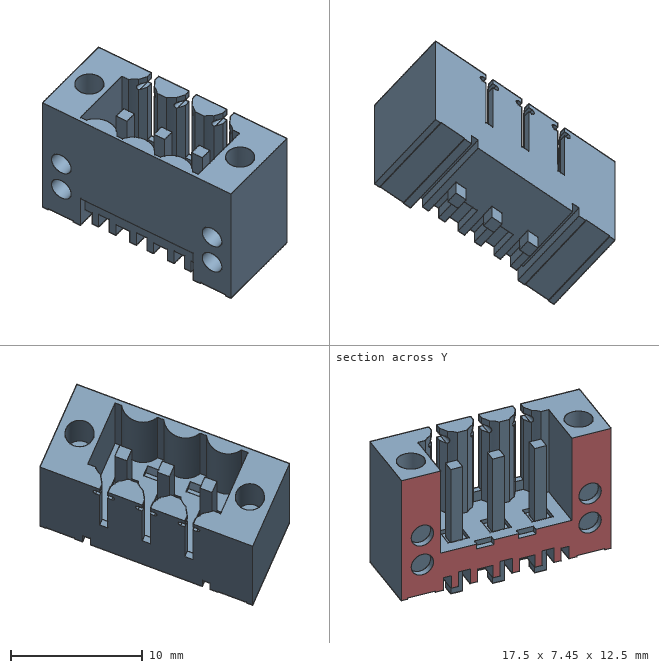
import cadquery as cq
import math

LENGTH = 17.5
DEPTH = 7.45
HEIGHT = 11.02
FRONT = -DEPTH / 2
BACK = DEPTH / 2

PITCH = 3.5
CONTACT_X = [-PITCH, 0.0, PITCH]
BETWEEN_X = [-PITCH / 2, PITCH / 2]

PIN_SIZE = 1.0
PIN_Y = -0.23
PIN_TAIL = 1.52
PIN_TOP = 9.87
PIN_FRONT = PIN_Y - PIN_SIZE / 2

CAVITY_LENGTH = 10.92
CAVITY_BACK = 2.12
CAVITY_FRONT = -3.38
FLOOR_Z = 3.5

SCALLOP_RADIUS = 1.75
SCALLOP_EDGE_X = 1.33
WEDGE_FOOT_X = 0.72
WEDGE_TIP_Y = 3.22
SLOT_WIDTH = 0.66
SLOT_BOTTOM = 4.38

CROSS_SLOT_LENGTH = 1.75
CROSS_SLOT_HEIGHT = 0.56
CROSS_SLOT_BULGE = 0.21
CROSS_SLOT_Z = 10.18

RIB_RADIUS = 1.66
RIB_PEAK_Y = -2.57
RIB_VALLEY_Y = -3.48

PIN_POCKET_SIZE = 1.77
PIN_POCKET_DEPTH = 0.35
KEY_LENGTH = 1.4
KEY_BACK = -1.7
KEY_STEP = -2.17
KEY_FRONT = -2.57
KEY_DEPTH = 0.44

FLANGE_X = 2 * PITCH
SCREW_HOLE_DIAMETER = 2.2
SCREW_HOLE_DEPTH = 3.85
SIDE_HOLE_DIAMETER = 1.82
SIDE_HOLE_DEPTH = 2.1
SIDE_HOLE_Z = [2.85, 5.51]

RECESS_LENGTH = 10.46
RECESS_HEIGHT = 2.84
RECESS_DEPTH = 0.65
END_GAP_WIDTH = 0.63
GAP_WIDTH = 1.28
GAP_HEIGHT = 1.14
PIN_SLOT_WIDTH = 0.96
PIN_SLOT_HEIGHT = 1.33
FOOT_NOTCH_X = 7.07
FOOT_NOTCH_WIDTH = 2.31
FOOT_NOTCH_HEIGHT = 0.1


def box(x_centre, width, y_range, z_range):
    """Box centred on x_centre that spans the given Y and Z ranges."""
    y_low, y_high = y_range
    z_low, z_high = z_range
    corner = cq.Vector(x_centre - width / 2, y_low, z_low)
    return cq.Workplane(cq.Solid.makeBox(width, y_high - y_low, z_high - z_low, corner))


def scallop(x_centre):
    """Bay in the rear wall: a concave arc on each side, narrowing in a wedge to the slot width."""
    drop = math.sqrt(SCALLOP_RADIUS**2 - SCALLOP_EDGE_X**2)
    centre_y = CAVITY_BACK - drop
    foot_y = centre_y + math.sqrt(SCALLOP_RADIUS**2 - WEDGE_FOOT_X**2)
    middle_x = (SCALLOP_EDGE_X + WEDGE_FOOT_X) / 2
    middle_y = centre_y + math.sqrt(SCALLOP_RADIUS**2 - middle_x**2)
    return (
        cq.Workplane("XY", origin=(x_centre, 0, FLOOR_Z))
        .moveTo(-SCALLOP_EDGE_X, CAVITY_BACK)
        .threePointArc((-middle_x, middle_y), (-WEDGE_FOOT_X, foot_y))
        .lineTo(-SLOT_WIDTH / 2, WEDGE_TIP_Y)
        .lineTo(SLOT_WIDTH / 2, WEDGE_TIP_Y)
        .lineTo(WEDGE_FOOT_X, foot_y)
        .threePointArc((middle_x, middle_y), (SCALLOP_EDGE_X, CAVITY_BACK))
        .close()
        .extrude(HEIGHT - FLOOR_Z)
    )


def cavity():
    """Space for the plug, open at the top, with ribs in front and scallops at the back."""
    heights = (FLOOR_Z, HEIGHT)
    space = box(0, CAVITY_LENGTH, (CAVITY_FRONT, CAVITY_BACK), heights)
    for x in BETWEEN_X:
        space = space.union(box(x, PITCH / 2, (RIB_VALLEY_Y, CAVITY_FRONT), heights))
    for x in CONTACT_X:
        rib = (
            cq.Workplane("XY", origin=(x, RIB_PEAK_Y - RIB_RADIUS, FLOOR_Z))
            .circle(RIB_RADIUS)
            .extrude(HEIGHT - FLOOR_Z)
        )
        space = space.cut(rib).union(scallop(x))
    return space


def cross_slot(x_centre):
    """Opening through the rear wall, just under the top, with outward bulging ends."""
    end_x = CROSS_SLOT_LENGTH / 2
    flat_x = end_x - CROSS_SLOT_BULGE
    half_height = CROSS_SLOT_HEIGHT / 2
    return (
        cq.Workplane("XZ", origin=(x_centre, BACK, CROSS_SLOT_Z))
        .moveTo(-flat_x, -half_height)
        .lineTo(flat_x, -half_height)
        .threePointArc((end_x, 0), (flat_x, half_height))
        .lineTo(-flat_x, half_height)
        .threePointArc((-end_x, 0), (-flat_x, -half_height))
        .close()
        .extrude(BACK - CAVITY_BACK)
    )


def key_pocket(x_centre):
    """Floor pocket with a flat bottom at the back and a ramp up towards the front."""
    return (
        cq.Workplane("YZ", origin=(x_centre - KEY_LENGTH / 2, 0, FLOOR_Z))
        .moveTo(KEY_BACK, 0)
        .lineTo(KEY_BACK, -KEY_DEPTH)
        .lineTo(KEY_STEP, -KEY_DEPTH)
        .lineTo(KEY_FRONT, 0)
        .close()
        .extrude(KEY_LENGTH)
    )


def cut_rear_wall(body):
    for x in CONTACT_X:
        body = body.cut(box(x, SLOT_WIDTH, (WEDGE_TIP_Y, BACK), (SLOT_BOTTOM, HEIGHT)))
        body = body.cut(cross_slot(x))
    return body


def cut_floor(body):
    pin_pocket_y = (PIN_Y - PIN_POCKET_SIZE / 2, PIN_Y + PIN_POCKET_SIZE / 2)
    for x in CONTACT_X:
        body = body.cut(box(x, PIN_POCKET_SIZE, pin_pocket_y, (FLOOR_Z - PIN_POCKET_DEPTH, FLOOR_Z)))
    for x in BETWEEN_X:
        body = body.cut(key_pocket(x))
    return body


def cut_flanges(body):
    for x in (-FLANGE_X, FLANGE_X):
        screw_hole = (
            cq.Workplane("XY", origin=(x, 0, HEIGHT))
            .circle(SCREW_HOLE_DIAMETER / 2)
            .extrude(-SCREW_HOLE_DEPTH)
        )
        body = body.cut(screw_hole)
        for z in SIDE_HOLE_Z:
            side_hole = (
                cq.Workplane("XZ", origin=(x, FRONT, z))
                .circle(SIDE_HOLE_DIAMETER / 2)
                .extrude(-SIDE_HOLE_DEPTH)
            )
            body = body.cut(side_hole)
    return body


def cut_underside(body):
    """Front recess, the slots that leave a comb of teeth, and the notches under the feet."""
    body = body.cut(box(0, RECESS_LENGTH, (FRONT, FRONT + RECESS_DEPTH), (0, RECESS_HEIGHT)))
    for x in CONTACT_X:
        body = body.cut(box(x, PIN_SLOT_WIDTH, (FRONT, PIN_FRONT), (0, PIN_SLOT_HEIGHT)))
    for x in BETWEEN_X:
        body = body.cut(box(x, GAP_WIDTH, (FRONT, PIN_FRONT), (0, GAP_HEIGHT)))
    end_gap_x = (RECESS_LENGTH - END_GAP_WIDTH) / 2
    for side in (-1, 1):
        body = body.cut(box(side * end_gap_x, END_GAP_WIDTH, (FRONT, BACK), (0, GAP_HEIGHT)))
        body = body.cut(box(side * FOOT_NOTCH_X, FOOT_NOTCH_WIDTH, (FRONT, BACK), (0, FOOT_NOTCH_HEIGHT)))
    return body


def make_pin(x_centre):
    """Straight square contact pin."""
    y_range = (PIN_FRONT, PIN_FRONT + PIN_SIZE)
    return box(x_centre, PIN_SIZE, y_range, (-PIN_TAIL, PIN_TOP))


def make_housing():
    body = box(0, LENGTH, (FRONT, BACK), (0, HEIGHT)).cut(cavity())
    body = cut_rear_wall(body)
    body = cut_floor(body)
    body = cut_flanges(body)
    body = cut_underside(body)
    for x in CONTACT_X:
        body = body.cut(make_pin(x))
    return body


housing = make_housing()
pins = [make_pin(x) for x in CONTACT_X]

result = cq.Compound.makeCompound([housing.val(), *[pin.val() for pin in pins]])